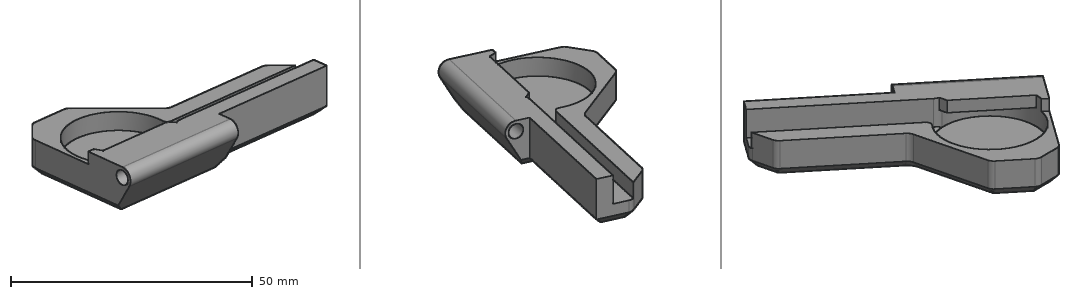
import cadquery as cq
import math

LENGTH = 63.0
WIDTH = 33.9
ARM_LEFT = 15.0
ARM_RIGHT = 28.3
HINGE_LENGTH = 31.5
CORNER_CUT = 5.0
SHOULDER_START = 15.0
CORNER_RADIUS = 2.0
BOTTOM_CHAMFER = 2.0

HEIGHT = 11.4
DECK_HEIGHT = 8.5
CHANNEL_FLOOR = 4.8
SILL_ROUND = 0.6
POCKET_FLOOR = CHANNEL_FLOOR - SILL_ROUND

HINGE_RADIUS = 2.45
HINGE_X = WIDTH - HINGE_RADIUS
HINGE_Z = HEIGHT - HINGE_RADIUS
PIN_DIAMETER = 3.4
HINGE_SLOPE = 60.0

POCKET_X = 17.3
POCKET_Y = 13.0
POCKET_RADIUS = 12.05
RAISED_LEFT = 21.4
LIP_LEFT = 23.3
CHANNEL_LEFT = 19.5
CHANNEL_RIGHT = 24.45
LIP_CORNER_Y = 21.15
MOUTH_RADIUS_LEFT = 1.25
MOUTH_RADIUS_RIGHT = 2.5

OVERCUT = 0.6


def plan_body():
    """Base with rounded left corners and a bevelled underside."""
    shoulder_y = SHOULDER_START + ARM_LEFT
    outline = [
        (CORNER_CUT, 0),
        (WIDTH, 0),
        (WIDTH, HINGE_LENGTH),
        (ARM_RIGHT, HINGE_LENGTH),
        (ARM_RIGHT, LENGTH),
        (ARM_LEFT + CORNER_CUT, LENGTH),
        (ARM_LEFT, LENGTH - CORNER_CUT),
        (ARM_LEFT, shoulder_y),
        (0, SHOULDER_START),
        (0, CORNER_CUT),
    ]
    body = cq.Workplane("XY").polyline(outline).close().extrude(HEIGHT)
    left_corners = cq.selectors.BoxSelector(
        (-OVERCUT, -OVERCUT, 0), (ARM_LEFT + CORNER_CUT + OVERCUT, LENGTH + OVERCUT, HEIGHT)
    )
    body = body.edges("|Z").edges(left_corners).fillet(CORNER_RADIUS)
    return body.faces("<Z").edges().chamfer(BOTTOM_CHAMFER)


def side_profile():
    """Stepped section with the hinge barrel, extruded along the whole length."""
    diagonal = HINGE_RADIUS * math.sqrt(0.5)
    slope = math.radians(HINGE_SLOPE)
    tangent_x = HINGE_X + HINGE_RADIUS * math.sin(slope)
    tangent_z = HINGE_Z - HINGE_RADIUS * math.cos(slope)
    foot_x = tangent_x - tangent_z / math.tan(slope)
    return (
        cq.Workplane("XZ")
        .moveTo(0, 0)
        .lineTo(foot_x, 0)
        .lineTo(tangent_x, tangent_z)
        .threePointArc((HINGE_X + diagonal, HINGE_Z + diagonal), (HINGE_X, HEIGHT))
        .lineTo(RAISED_LEFT, HEIGHT)
        .lineTo(RAISED_LEFT, DECK_HEIGHT)
        .lineTo(0, DECK_HEIGHT)
        .close()
        .extrude(-LENGTH)
    )


def pin_hole():
    """Through hole along the hinge barrel."""
    return (
        cq.Workplane("XZ")
        .center(HINGE_X, HINGE_Z)
        .circle(PIN_DIAMETER / 2)
        .extrude(-HINGE_LENGTH)
    )


def lip():
    """Space above the deck kept solid, with a 45 degree corner toward the channel."""
    reach = HINGE_X - LIP_LEFT
    return (
        cq.Workplane("XY", origin=(0, 0, DECK_HEIGHT))
        .polyline([
            (LIP_LEFT, 0),
            (HINGE_X, 0),
            (HINGE_X, LIP_CORNER_Y + reach),
            (LIP_LEFT, LIP_CORNER_Y),
        ])
        .close()
        .extrude(HEIGHT - DECK_HEIGHT)
    )


def mouth_corner(wall_x):
    """Select the upright edge where a channel wall meets the pocket wall."""
    corner_y = POCKET_Y + math.sqrt(POCKET_RADIUS**2 - (wall_x - POCKET_X) ** 2)
    return cq.selectors.NearestToPointSelector((wall_x, corner_y, (CHANNEL_FLOOR + HEIGHT) / 2))


def pocket_and_channel(bottom):
    """Joined plan of disc pocket and open channel, with rounded mouth corners."""
    depth = HEIGHT - bottom
    plan = cq.Workplane("XY", origin=(0, 0, bottom))
    disc = plan.center(POCKET_X, POCKET_Y).circle(POCKET_RADIUS).extrude(depth)
    slot = plan.center(CHANNEL_LEFT, POCKET_Y).rect(
        CHANNEL_RIGHT - CHANNEL_LEFT, LENGTH - POCKET_Y + OVERCUT, centered=False
    ).extrude(depth)
    joined = disc.union(slot)
    joined = joined.edges("|Z").edges(mouth_corner(CHANNEL_LEFT)).fillet(MOUTH_RADIUS_LEFT)
    return joined.edges("|Z").edges(mouth_corner(CHANNEL_RIGHT)).fillet(MOUTH_RADIUS_RIGHT)


def pocket_floor():
    """Lower disc recess, flaring into a quarter round at the channel floor."""
    bend = SILL_ROUND * math.sqrt(0.5)
    rim_radius = POCKET_RADIUS + SILL_ROUND
    flared = (
        cq.Workplane("XZ", origin=(POCKET_X, POCKET_Y, POCKET_FLOOR))
        .lineTo(POCKET_RADIUS, 0)
        .threePointArc((rim_radius - bend, bend), (rim_radius, SILL_ROUND))
        .lineTo(0, SILL_ROUND)
        .close()
        .revolve(360, (0, 0), (0, 1))
    )
    return flared.intersect(pocket_and_channel(POCKET_FLOOR))


result = plan_body().intersect(side_profile())
result = result.cut(pin_hole())
result = result.cut(pocket_and_channel(CHANNEL_FLOOR).cut(lip()))
result = result.cut(pocket_floor())